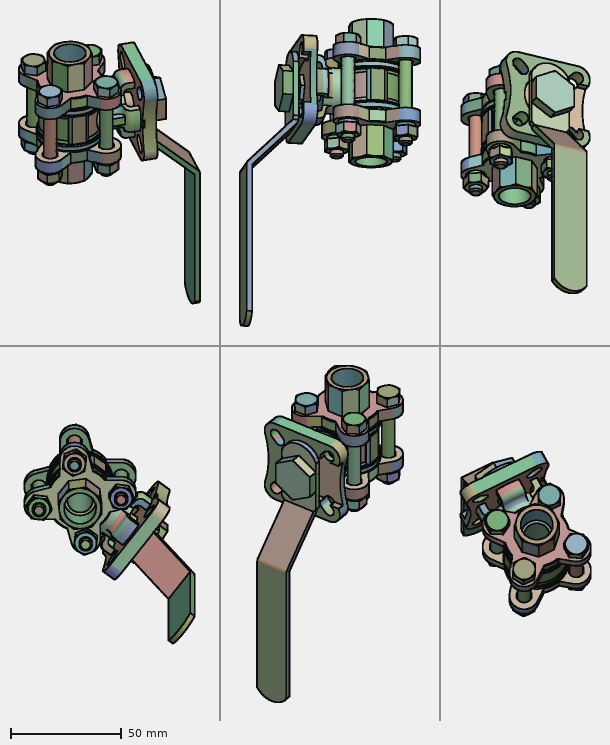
import cadquery as cq
import math


BODY_LENGTH = 64.8
BORE_DIAMETER = 11.6
SOCKET_DIAMETER = 14.5
SOCKET_DEPTH = 14.0
OCTAGON_WIDTH = 19.0
OCTAGON_CHAMFER_ANGLE = 30.0

FLANGE_OUTER_Z = 17.8
FLANGE_INNER_Z = 11.8
FLANGE_DISC_DIAMETER = 30.0
FLANGE_DISC_CHAMFER = 0.4
LOBE_RADIUS = 6.7
LOBE_ROOT_DISTANCE = 12.0
LOBE_TAPER = 7.5

COLLAR_DIAMETER = 29.0
RING_DIAMETER = 30.5
RING_OUTER_Z = 10.8
RING_INNER_Z = 8.6
GROOVE_DIAMETER = 28.0
GROOVE_WIDTH = 0.5
SHOULDER_DIAMETER = 29.4
SHOULDER_Z = 7.5
WAIST_DIAMETER = 28.4
WAIST_Z = 6.0

LABEL_FACE_X = 15.0
LABEL_WIDTH = 6.5
LABEL_BASE_WIDTH = 9.4
LABEL_TAPER_DEPTH = 1.2

BOLT_OFFSET = 13.3
BOLT_DIAMETER = 6.0
BOLT_HOLE_DIAMETER = 7.0
BOLT_HEX_WIDTH = 10.0
BOLT_HEX_HEIGHT = 4.8
BOLT_HEX_CHAMFER = 0.4
WASHER_DIAMETER = 9.0
WASHER_THICKNESS = 1.7
BOLT_END_Z = -27.2
BOLT_END_CHAMFER = 0.8

NECK_DIAMETER = 21.0
NECK_TOP_Y = 23.8
ARM_OUTER_DIAMETER = 32.0
ARM_INNER_DIAMETER = 26.0
ARM_WIDTH = 11.7
ARM_BEND_Y = 22.2
ARM_OUTER_BEND = 3.0
ARM_INNER_BEND = 2.0
PAD_BOTTOM_Y = 28.9
PAD_TOP_Y = 35.3
PAD_WIDTH = 41.99
PAD_CORNER_RADIUS = 6.0
PAD_WAIST_HALF_WIDTH = 18.8
PAD_SLOT_WIDTH = 5.5
PAD_SLOT_INNER_CIRCLE = 36.0
PAD_SLOT_OUTER_CIRCLE = 42.0
RECESS_WIDTH = 23.6
RECESS_DEPTH = 3.3
NOTCH_X = 17.3
NOTCH_HEIGHT = 3.8
NOTCH_DEPTH = 1.0
LUG_LENGTH = 13.5
LUG_WIDTH = 4.0
LUG_HEIGHT = 6.0

STEM_DIAMETER = 10.11
STEM_BOTTOM_Y = 15.5
STEM_NUT_WIDTH = 19.0
STEM_NUT_HEIGHT = 4.8
GLAND_WIDTH = 11.7
GLAND_HEIGHT = 1.9
LEVER_THICKNESS = 2.6
HUB_WIDTH = 19.0
HUB_TOP_Z = 17.2
HUB_CORNER_Z = 10.2
HUB_BOTTOM_Z = -15.2
GRIP_WIDTH = 16.3
GRIP_OUTER_Y = 59.21
GRIP_BOTTOM_Z = -113.06
GRIP_END_RADIUS = 9.75
BEND_START_Z = -16.9

HALF_LENGTH = BODY_LENGTH / 2
BOLT_CIRCLE_RADIUS = BOLT_OFFSET * math.sqrt(2)
LEVER_TOP_Y = PAD_TOP_Y + LEVER_THICKNESS
RECESS_FLOOR_Y = PAD_TOP_Y - RECESS_DEPTH
ARM_FOOT_BEND = (ARM_OUTER_DIAMETER - NECK_DIAMETER) / 2 - ARM_OUTER_BEND
DIAGONALS = (45, 135, 225, 315)


def y_plane(y):
    """Work plane at height y: local axes X and Z, extruding towards -Y."""
    return cq.Workplane("XZ", origin=(0, y, 0))


def y_cylinder(diameter, bottom, top):
    return y_plane(top).circle(diameter / 2).extrude(top - bottom)


def z_cylinder(diameter, bottom, top):
    return cq.Workplane("XY", origin=(0, 0, bottom)).circle(diameter / 2).extrude(top - bottom)


def hexagon(plane, width, height):
    """Hexagonal prism, corners on the local X axis."""
    return plane.polygon(6, width / math.cos(math.pi / 6)).extrude(height)


def flange_arm():
    """Round bolt lobe and its tapered arm along +X, from the flow axis outwards."""
    taper = math.radians(LOBE_TAPER)
    tangent_x = BOLT_CIRCLE_RADIUS + LOBE_RADIUS * math.sin(taper)
    tangent_y = LOBE_RADIUS * math.cos(taper)
    root_y = tangent_y + (tangent_x - LOBE_ROOT_DISTANCE) * math.tan(taper)
    outline = (
        cq.Workplane("XY")
        .moveTo(0, 0)
        .lineTo(LOBE_ROOT_DISTANCE, -root_y)
        .lineTo(tangent_x, -tangent_y)
        .threePointArc((BOLT_CIRCLE_RADIUS + LOBE_RADIUS, 0), (tangent_x, tangent_y))
        .lineTo(LOBE_ROOT_DISTANCE, root_y)
        .close()
    )
    return outline.extrude(FLANGE_OUTER_Z - FLANGE_INNER_Z)


def end_cap():
    """Upper end cap: flange with four bolt lobes and an octagonal pipe end."""
    flange = z_cylinder(FLANGE_DISC_DIAMETER, FLANGE_INNER_Z, FLANGE_OUTER_Z)
    flange = flange.faces(">Z").edges().chamfer(FLANGE_DISC_CHAMFER)
    arm = flange_arm().translate((0, 0, FLANGE_INNER_Z))
    for angle in DIAGONALS:
        flange = flange.union(arm.rotate((0, 0, 0), (0, 0, 1), angle))
    bolt_holes = (
        cq.Workplane("XY", origin=(0, 0, FLANGE_INNER_Z))
        .rect(2 * BOLT_OFFSET, 2 * BOLT_OFFSET, forConstruction=True)
        .vertices()
        .circle(BOLT_HOLE_DIAMETER / 2)
        .extrude(FLANGE_OUTER_Z - FLANGE_INNER_Z)
    )
    return flange.cut(bolt_holes).union(octagon_end())


def octagon_end():
    """Octagonal pipe end, its corners turned off conically at the tip."""
    corner_diameter = OCTAGON_WIDTH / math.cos(math.pi / 8)
    chamfer_width = (corner_diameter - OCTAGON_WIDTH) / 2
    chamfer_height = chamfer_width * math.tan(math.radians(OCTAGON_CHAMFER_ANGLE))
    octagon = (
        cq.Workplane("XY", origin=(0, 0, RING_OUTER_Z))
        .transformed(rotate=(0, 0, 180 / 8))
        .polygon(8, corner_diameter)
        .extrude(HALF_LENGTH - RING_OUTER_Z)
    )
    envelope = z_cylinder(corner_diameter, RING_OUTER_Z, HALF_LENGTH)
    envelope = envelope.faces(">Z").edges().chamfer(chamfer_height, chamfer_width)
    return octagon.intersect(envelope)


def body_centre():
    """Turned centre body: a collar, sealing ring and groove at each end, and a waist."""
    upper_profile = [
        (COLLAR_DIAMETER / 2, FLANGE_INNER_Z),
        (COLLAR_DIAMETER / 2, RING_OUTER_Z),
        (RING_DIAMETER / 2, RING_OUTER_Z),
        (RING_DIAMETER / 2, RING_INNER_Z),
        (SHOULDER_DIAMETER / 2, SHOULDER_Z + GROOVE_WIDTH),
        (GROOVE_DIAMETER / 2, SHOULDER_Z + GROOVE_WIDTH),
        (GROOVE_DIAMETER / 2, SHOULDER_Z),
        (SHOULDER_DIAMETER / 2, SHOULDER_Z),
        (WAIST_DIAMETER / 2, WAIST_Z),
    ]
    lower_profile = [(radius, -z) for radius, z in reversed(upper_profile)]
    points = [(0, FLANGE_INNER_Z)] + upper_profile + lower_profile + [(0, -FLANGE_INNER_Z)]
    return cq.Workplane("XZ").polyline(points).close().revolve(360, (0, 0), (0, 1))


def label_boss():
    """Flat label faces on the -X and +X sides of the waist, with tapered flanks."""
    taper_x = LABEL_FACE_X - LABEL_TAPER_DEPTH
    upper_edge = [
        (LABEL_FACE_X, LABEL_WIDTH / 2),
        (taper_x, LABEL_BASE_WIDTH / 2),
        (-taper_x, LABEL_BASE_WIDTH / 2),
        (-LABEL_FACE_X, LABEL_WIDTH / 2),
    ]
    lower_edge = [(x, -y) for x, y in reversed(upper_edge)]
    outline = cq.Workplane("XY", origin=(0, 0, -SHOULDER_Z)).polyline(upper_edge + lower_edge).close()
    return outline.extrude(2 * SHOULDER_Z)


def chamfered_hexagon(bottom, chamfered_face):
    """Bolt head or nut standing on z = bottom, corners turned off on one face."""
    corner_diameter = BOLT_HEX_WIDTH / math.cos(math.pi / 6)
    chamfer_width = (corner_diameter - BOLT_HEX_WIDTH) / 2
    prism = hexagon(cq.Workplane("XY", origin=(0, 0, bottom)), BOLT_HEX_WIDTH, BOLT_HEX_HEIGHT)
    envelope = z_cylinder(corner_diameter, bottom, bottom + BOLT_HEX_HEIGHT)
    envelope = envelope.faces(chamfered_face).edges().chamfer(BOLT_HEX_CHAMFER, chamfer_width)
    return prism.intersect(envelope)


def bolt():
    """Clamping bolt on the Z axis: head on the upper flange, washer and nut below the lower one."""
    shank = z_cylinder(BOLT_DIAMETER, BOLT_END_Z, FLANGE_OUTER_Z)
    shank = shank.faces("<Z").edges().chamfer(BOLT_END_CHAMFER)
    washer_bottom = -FLANGE_OUTER_Z - WASHER_THICKNESS
    washer = z_cylinder(WASHER_DIAMETER, washer_bottom, -FLANGE_OUTER_Z)
    head = chamfered_hexagon(FLANGE_OUTER_Z, ">Z")
    nut = chamfered_hexagon(washer_bottom - BOLT_HEX_HEIGHT, "<Z")
    return shank.union(washer).union(head).union(nut)


def bolt_set():
    """Four bolts, each turned a quarter turn from the one before."""
    first = bolt().translate((BOLT_OFFSET, BOLT_OFFSET, 0))
    bolts = first
    for angle in (90, 180, 270):
        bolts = bolts.union(first.rotate((0, 0, 0), (0, 0, 1), angle))
    return bolts


def arm_cage():
    """Four S-shaped arms from the neck to the pad, cut from one turned bell."""
    outer = ARM_OUTER_DIAMETER / 2
    inner = ARM_INNER_DIAMETER / 2
    neck = NECK_DIAMETER / 2
    diagonal = math.sqrt(0.5)
    bell = (
        cq.Workplane("XY")
        .moveTo(0, NECK_TOP_Y)
        .lineTo(inner - ARM_INNER_BEND, NECK_TOP_Y)
        .radiusArc((inner, NECK_TOP_Y + ARM_INNER_BEND), -ARM_INNER_BEND)
        .lineTo(inner, PAD_BOTTOM_Y)
        .lineTo(outer, PAD_BOTTOM_Y)
        .lineTo(outer, ARM_BEND_Y + ARM_OUTER_BEND)
        .threePointArc(
            (outer - ARM_OUTER_BEND * (1 - diagonal), ARM_BEND_Y + ARM_OUTER_BEND * (1 - diagonal)),
            (outer - ARM_OUTER_BEND, ARM_BEND_Y),
        )
        .threePointArc(
            (neck + ARM_FOOT_BEND * (1 - diagonal), ARM_BEND_Y - ARM_FOOT_BEND * (1 - diagonal)),
            (neck, ARM_BEND_Y - ARM_FOOT_BEND),
        )
        .lineTo(0, ARM_BEND_Y - ARM_FOOT_BEND)
        .close()
        .revolve(360, (0, 0), (0, 1))
    )
    cross = (
        y_plane(PAD_BOTTOM_Y).rect(ARM_WIDTH, 2 * outer).extrude(PAD_BOTTOM_Y)
        .union(y_plane(PAD_BOTTOM_Y).rect(2 * outer, ARM_WIDTH).extrude(PAD_BOTTOM_Y))
    )
    return bell.intersect(cross)


def pad_plate():
    """Square pad with rounded corners; its -X and +X sides are hollowed by large arcs."""
    half = PAD_WIDTH / 2
    corner = half - PAD_CORNER_RADIUS
    turn = 2 * math.atan((half - PAD_WAIST_HALF_WIDTH) / corner)
    tangent_x = corner + PAD_CORNER_RADIUS * math.cos(turn)
    tangent_z = corner - PAD_CORNER_RADIUS * math.sin(turn)
    bulge_angle = (math.pi / 2 - turn) / 2
    bulge_x = corner + PAD_CORNER_RADIUS * math.cos(bulge_angle)
    bulge_z = corner + PAD_CORNER_RADIUS * math.sin(bulge_angle)
    outline = (
        y_plane(PAD_TOP_Y)
        .moveTo(-corner, half)
        .lineTo(corner, half)
        .threePointArc((bulge_x, bulge_z), (tangent_x, tangent_z))
        .threePointArc((PAD_WAIST_HALF_WIDTH, 0), (tangent_x, -tangent_z))
        .threePointArc((bulge_x, -bulge_z), (corner, -half))
        .lineTo(-corner, -half)
        .threePointArc((-bulge_x, -bulge_z), (-tangent_x, -tangent_z))
        .threePointArc((-PAD_WAIST_HALF_WIDTH, 0), (-tangent_x, tangent_z))
        .threePointArc((-bulge_x, bulge_z), (-corner, half))
        .close()
    )
    return outline.extrude(PAD_TOP_Y - PAD_BOTTOM_Y)


def pad_slots():
    """Four diagonal slots joining the two actuator bolt circles."""
    middle = (PAD_SLOT_INNER_CIRCLE + PAD_SLOT_OUTER_CIRCLE) / 4
    length = (PAD_SLOT_OUTER_CIRCLE - PAD_SLOT_INNER_CIRCLE) / 2 + PAD_SLOT_WIDTH
    return (
        y_plane(PAD_TOP_Y)
        .polarArray(middle, DIAGONALS[0], 360, len(DIAGONALS))
        .slot2D(length, PAD_SLOT_WIDTH)
        .extrude(PAD_TOP_Y - PAD_BOTTOM_Y)
    )


def pad_recess():
    """Recess under the lever, round about the stem and open on the -X side."""
    opening = (
        y_plane(PAD_TOP_Y)
        .center(-PAD_WIDTH / 4, 0)
        .rect(PAD_WIDTH / 2, RECESS_WIDTH)
        .extrude(RECESS_DEPTH)
    )
    return opening.union(y_cylinder(RECESS_WIDTH, RECESS_FLOOR_Y, PAD_TOP_Y))


def edge_notch():
    """Shallow index notch in the lower face of the pad at its +X edge."""
    length = PAD_WIDTH / 2 - NOTCH_X
    return (
        y_plane(PAD_BOTTOM_Y + NOTCH_DEPTH)
        .center(NOTCH_X + length / 2, 0)
        .rect(length, NOTCH_HEIGHT)
        .extrude(NOTCH_DEPTH)
    )


def neck_lug():
    """Small lug beside the neck, under the +X arm."""
    return y_plane(ARM_BEND_Y).center(LUG_LENGTH / 2, 0).rect(LUG_LENGTH, LUG_WIDTH).extrude(LUG_HEIGHT)


def valve_body():
    cap = end_cap()
    neck = y_cylinder(NECK_DIAMETER, 0, NECK_TOP_Y)
    pad = pad_plate().cut(pad_slots()).cut(pad_recess()).cut(edge_notch())
    valve = body_centre().union(label_boss()).union(cap).union(cap.mirror("XY"))
    valve = valve.union(neck).union(arm_cage()).union(neck_lug()).union(pad).union(bolt_set())
    valve = valve.cut(z_cylinder(BORE_DIAMETER, -HALF_LENGTH, HALF_LENGTH))
    valve = valve.cut(z_cylinder(SOCKET_DIAMETER, HALF_LENGTH - SOCKET_DEPTH, HALF_LENGTH))
    valve = valve.cut(z_cylinder(SOCKET_DIAMETER, -HALF_LENGTH, SOCKET_DEPTH - HALF_LENGTH))
    return valve.cut(y_cylinder(STEM_DIAMETER, STEM_BOTTOM_Y, PAD_TOP_Y))


def stem():
    """Stem with a gland nut in the pad recess and a hexagon nut on top of the lever."""
    nut_top = LEVER_TOP_Y + STEM_NUT_HEIGHT
    shank = y_cylinder(STEM_DIAMETER, STEM_BOTTOM_Y, nut_top)
    gland = hexagon(y_plane(RECESS_FLOOR_Y + GLAND_HEIGHT), GLAND_WIDTH, GLAND_HEIGHT)
    nut_plane = y_plane(nut_top).transformed(rotate=(0, 0, 90))
    return shank.union(gland).union(hexagon(nut_plane, STEM_NUT_WIDTH, STEM_NUT_HEIGHT))


def lever_profile():
    """Bent strip, flat at the hub, sloping out at 45 degrees, then straight down the grip."""
    inner_y = GRIP_OUTER_Y - LEVER_THICKNESS
    corner_shift = LEVER_THICKNESS * math.tan(math.radians(45 / 2))
    inner_z = BEND_START_Z - (GRIP_OUTER_Y - LEVER_TOP_Y) - corner_shift
    slope_offset = LEVER_THICKNESS * math.sqrt(0.5)
    mid_along = LEVER_THICKNESS * math.cos(math.radians(45 / 2))
    mid_across = LEVER_THICKNESS * math.sin(math.radians(45 / 2))
    profile = (
        cq.Workplane("YZ")
        .moveTo(LEVER_TOP_Y, HUB_TOP_Z)
        .lineTo(LEVER_TOP_Y, BEND_START_Z)
        .lineTo(inner_y + slope_offset, inner_z + slope_offset)
        .threePointArc((inner_y + mid_along, inner_z + mid_across), (GRIP_OUTER_Y, inner_z))
        .lineTo(GRIP_OUTER_Y, GRIP_BOTTOM_Z)
        .lineTo(inner_y, GRIP_BOTTOM_Z)
        .lineTo(inner_y, inner_z)
        .lineTo(LEVER_TOP_Y - slope_offset, BEND_START_Z - slope_offset)
        .threePointArc(
            (LEVER_TOP_Y - mid_along, BEND_START_Z - mid_across),
            (PAD_TOP_Y, BEND_START_Z),
        )
        .lineTo(PAD_TOP_Y, HUB_TOP_Z)
        .close()
    )
    return profile.extrude(HUB_WIDTH / 2, both=True)


def lever_outline():
    """Front outline: round-topped hub and a narrower grip with a rounded end."""
    hub = HUB_WIDTH / 2
    grip = GRIP_WIDTH / 2
    grip_corner_z = GRIP_BOTTOM_Z + GRIP_END_RADIUS - math.sqrt(GRIP_END_RADIUS**2 - grip**2)
    return (
        y_plane(GRIP_OUTER_Y)
        .moveTo(-hub, HUB_CORNER_Z)
        .threePointArc((0, HUB_TOP_Z), (hub, HUB_CORNER_Z))
        .lineTo(hub, HUB_BOTTOM_Z)
        .lineTo(grip, BEND_START_Z)
        .lineTo(grip, grip_corner_z)
        .threePointArc((0, GRIP_BOTTOM_Z), (-grip, grip_corner_z))
        .lineTo(-grip, BEND_START_Z)
        .lineTo(-hub, HUB_BOTTOM_Z)
        .close()
        .extrude(GRIP_OUTER_Y)
    )


def lever():
    strip = lever_profile().intersect(lever_outline())
    return strip.cut(y_cylinder(STEM_DIAMETER, PAD_TOP_Y, LEVER_TOP_Y))


valve = valve_body()
stem_with_nut = stem()
handle = lever()
result = cq.Compound.makeCompound(
    [*valve.solids().vals(), *stem_with_nut.solids().vals(), *handle.solids().vals()]
)